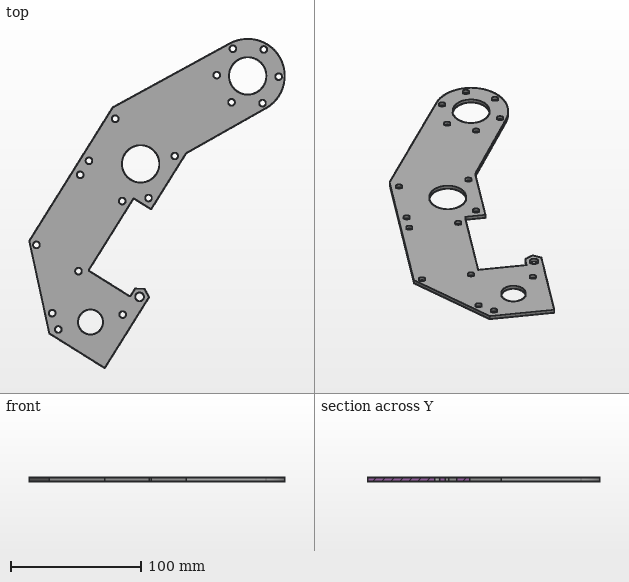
import cadquery as cq
import math

INCH = 25.4

THICKNESS = 0.125 * INCH
FRAME_ANGLE = 58.0

BEARING_BORE = 1.125
GEARBOX_BORE = 0.75
SCREW_HOLE = 0.196
STANDOFF_HOLE = 0.257

ARM_CENTER = (3.975, -1.337)
ARM_END_RADIUS = 1.125
ARM_BOLT_RADIUS = 0.9375
ARM_BOLT_COUNT = 6
ARM_BOLT_START = 0.6

EDGE_MARGIN = 0.25
SCREW_OFFSET = 0.75
OUTER_ROW_V = 1.375
INNER_ROW_V = -0.125
ROW_START_U = -1.25
ROW_END_U = -3.75
LAST_INNER_U = -5.25
OUTER_CORNER_U = -3.765
OUTER_EDGE_V = OUTER_ROW_V + EDGE_MARGIN
INNER_EDGE_V = INNER_ROW_V - EDGE_MARGIN
SHOULDER_U = SCREW_OFFSET + EDGE_MARGIN
SHOULDER_V = -SHOULDER_U

GEARBOX_CENTER = (-4.863, -1.25)
GEARBOX_BOLT_OFFSET = math.sqrt(0.5)
FOOT_LENGTH = 2.25
FOOT_BOTTOM_U = GEARBOX_CENTER[0] - GEARBOX_BOLT_OFFSET - EDGE_MARGIN
FOOT_TOP_U = FOOT_BOTTOM_U + FOOT_LENGTH

STANDOFF_CENTER = (-3.43, -2.106)
TAB_APOTHEM = 0.25
TAB_RADIUS = TAB_APOTHEM / math.cos(math.radians(30))
FOOT_EDGE_V = STANDOFF_CENTER[1] - TAB_APOTHEM
TAB_INNER_V = STANDOFF_CENTER[1] + TAB_APOTHEM


def to_plate(point):
    """Turn a (u, v) point in inches into an (x, y) point in millimetres."""
    u, v = point
    turn = math.radians(FRAME_ANGLE)
    x = u * math.cos(turn) - v * math.sin(turn)
    y = u * math.sin(turn) + v * math.cos(turn)
    return (x * INCH, y * INCH)


def polar(center, radius, angle):
    """Point at a radius and an angle (degrees) about a centre."""
    turn = math.radians(angle)
    return (center[0] + radius * math.cos(turn), center[1] + radius * math.sin(turn))


def tangent_angle(corner, side):
    """Angle about the arm centre where a line from the corner touches the arm end.

    Side is +1 or -1 and picks one of the two tangent points.
    """
    du = corner[0] - ARM_CENTER[0]
    dv = corner[1] - ARM_CENTER[1]
    spread = math.degrees(math.acos(ARM_END_RADIUS / math.hypot(du, dv)))
    return math.degrees(math.atan2(dv, du)) + side * spread


def plate_blank():
    """Solid plate with the full outline and no holes."""
    outer_corner = (SHOULDER_U, OUTER_EDGE_V)
    inner_corner = (SHOULDER_U, SHOULDER_V)
    outer_angle = tangent_angle(outer_corner, -1)
    inner_angle = tangent_angle(inner_corner, 1) - 360
    middle_angle = (outer_angle + inner_angle) / 2
    arm_start, arm_middle, arm_end = (
        to_plate(polar(ARM_CENTER, ARM_END_RADIUS, angle))
        for angle in (outer_angle, middle_angle, inner_angle)
    )

    tab_half_side = TAB_RADIUS / 2
    corners_after_arm = [
        inner_corner,
        (-SHOULDER_U, SHOULDER_V),
        (-SHOULDER_U, INNER_EDGE_V),
        (FOOT_TOP_U, INNER_EDGE_V),
        (FOOT_TOP_U, TAB_INNER_V),
        (STANDOFF_CENTER[0] + tab_half_side, TAB_INNER_V),
        (STANDOFF_CENTER[0] + TAB_RADIUS, STANDOFF_CENTER[1]),
        (STANDOFF_CENTER[0] + tab_half_side, FOOT_EDGE_V),
        (FOOT_BOTTOM_U, FOOT_EDGE_V),
        (FOOT_BOTTOM_U, INNER_EDGE_V),
        (OUTER_CORNER_U, OUTER_EDGE_V),
    ]
    outline = cq.Workplane("XY").moveTo(*to_plate(outer_corner)).lineTo(*arm_start)
    outline = outline.threePointArc(arm_middle, arm_end)
    for corner in corners_after_arm:
        outline = outline.lineTo(*to_plate(corner))
    return outline.close().extrude(THICKNESS)


def drill(plate, centers, diameter):
    """Cut through holes of one diameter at the given (u, v) centres."""
    points = [to_plate(center) for center in centers]
    cutter = cq.Workplane("XY").pushPoints(points).circle(diameter * INCH / 2).extrude(THICKNESS)
    return plate.cut(cutter)


def screw_centers():
    """Centres of all the small screw holes."""
    arm_bolts = [
        polar(ARM_CENTER, ARM_BOLT_RADIUS, ARM_BOLT_START + step * 360 / ARM_BOLT_COUNT)
        for step in range(ARM_BOLT_COUNT)
    ]
    middle_bolts = [
        (side * SCREW_OFFSET, v) for side in (1, -1) for v in (OUTER_ROW_V, -SCREW_OFFSET)
    ]
    row_bolts = [(u, v) for u in (ROW_START_U, ROW_END_U) for v in (OUTER_ROW_V, INNER_ROW_V)]
    gearbox_bolts = [
        (GEARBOX_CENTER[0] + side * GEARBOX_BOLT_OFFSET, GEARBOX_CENTER[1] - side * GEARBOX_BOLT_OFFSET)
        for side in (1, -1)
    ]
    return arm_bolts + middle_bolts + row_bolts + gearbox_bolts + [(LAST_INNER_U, INNER_ROW_V)]


result = plate_blank()
result = drill(result, [(0, 0), ARM_CENTER], BEARING_BORE)
result = drill(result, [GEARBOX_CENTER], GEARBOX_BORE)
result = drill(result, [STANDOFF_CENTER], STANDOFF_HOLE)
result = drill(result, screw_centers(), SCREW_HOLE)